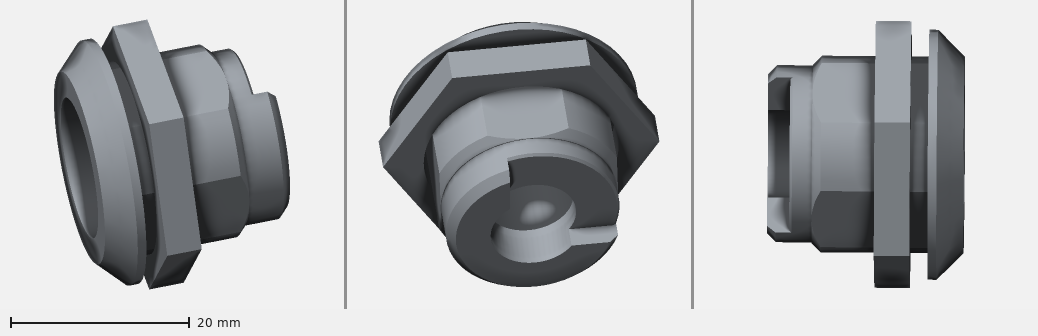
import cadquery as cq


flange_radius = 14.0
flange_bevel = 3.0
flange_thickness = 4.0

barrel_radius = 11.0
flat_distance = 10.0
barrel_end = 17.0
barrel_chamfer = barrel_radius - flat_distance

collar_radius = 9.9
collar_chamfer = 1.0
total_length = 22.0
step_position = 19.5
step_chamfer = 0.28
step_offset = 2.78

bore_radius = 8.05
bore_depth = barrel_end
hole_radius = 5.0

nut_corner_width = 31.18
nut_start = 6.0
nut_thickness = 4.0


def cylinder(radius, start, end):
    """Solid cylinder about the Y axis between two Y positions."""
    return cq.Workplane("XZ", origin=(0, start, 0)).circle(radius).extrude(start - end)


def make_flange():
    disc = cylinder(flange_radius, 0, flange_thickness)
    return disc.faces("<Y").chamfer(flange_bevel)


def make_barrel():
    barrel = cylinder(barrel_radius, flange_thickness, barrel_end)
    barrel = barrel.faces(">Y").chamfer(barrel_chamfer)
    flats = cq.Workplane("XY").box(2 * flat_distance, 2 * total_length, 2 * flat_distance)
    return barrel.intersect(flats)


def make_collar():
    """Collar whose upper left part stops at the step, leaving an L-shaped tab."""
    short_collar = cylinder(collar_radius, barrel_end, step_position)
    short_collar = short_collar.faces(">Y").chamfer(step_chamfer)
    full_collar = cylinder(collar_radius, barrel_end, total_length)
    full_collar = full_collar.faces(">Y").chamfer(collar_chamfer)
    removed_corner = cq.Workplane("XY").box(
        collar_radius + step_offset,
        total_length - barrel_end,
        collar_radius + step_offset,
        centered=False,
    ).translate((-collar_radius, barrel_end, -step_offset))
    return full_collar.cut(removed_corner).union(short_collar)


def make_housing():
    housing = make_flange().union(make_barrel()).union(make_collar())
    housing = housing.cut(cylinder(bore_radius, 0, bore_depth))
    return housing.cut(cylinder(hole_radius, 0, total_length))


def make_nut():
    nut_end = nut_start + nut_thickness
    hexagon = (
        cq.Workplane("XZ", origin=(0, nut_start, 0))
        .polygon(6, nut_corner_width)
        .extrude(-nut_thickness)
    )
    return hexagon.cut(cylinder(barrel_radius, nut_start, nut_end))


housing = make_housing()
nut = make_nut()
result = cq.Compound.makeCompound([housing.val(), nut.val()])